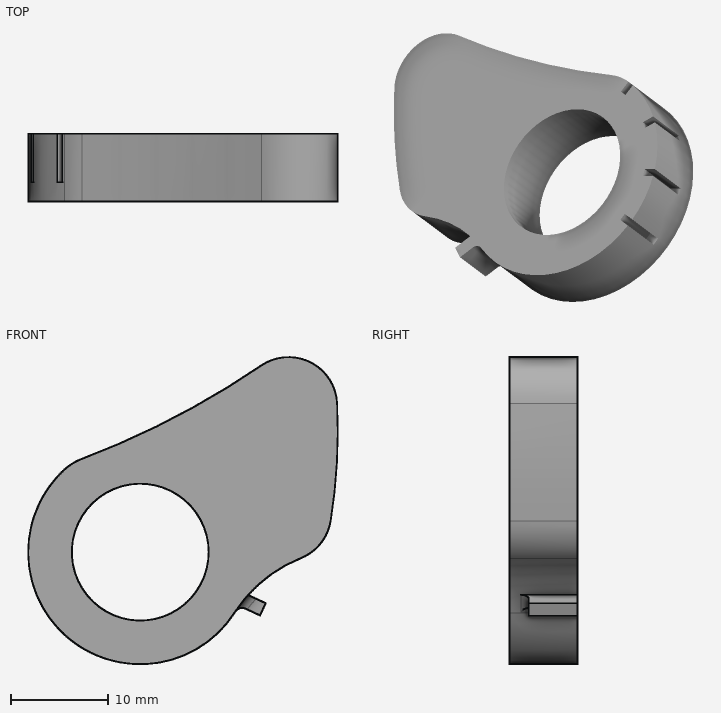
import cadquery as cq
import math

length = 31.78
height = 31.53
thickness = 7.0
hub_radius = 11.5
bore_diameter = 14.0

corner_radius = 5.0
heel_center = (14.62, 4.0)
tip_inset = 0.05
shoulder_radius = 5.55
shoulder_angle = 132.5
flank_radius = 58.15
back_radius = 87.7
throat_radius = 14.3

slot_angles = (136.0, 164.5, 195.5, 224.5)
slot_width = 0.75
slot_depth = 1.27
slot_length = 5.02

tongue_angle = -25.0
tongue_width = 1.4
tongue_reach = 13.9
tongue_root = 9.53
tongue_fillet = 0.83

rear = thickness / 2


def polar(radius, angle):
    a = math.radians(angle)
    return (radius * math.cos(a), radius * math.sin(a))


def circle_crossing(center_a, radius_a, center_b, radius_b):
    """Crossing of two circles that lies to the left of the line from a to b."""
    dx = center_b[0] - center_a[0]
    dz = center_b[1] - center_a[1]
    gap = math.hypot(dx, dz)
    along = (gap**2 + radius_a**2 - radius_b**2) / (2 * gap)
    aside = math.sqrt(radius_a**2 - along**2)
    return (
        center_a[0] + (along * dx - aside * dz) / gap,
        center_a[1] + (along * dz + aside * dx) / gap,
    )


def point_toward(center, radius, target):
    """Point on a circle in the direction of target; a negative radius gives the far side."""
    gap = math.dist(center, target)
    return tuple(c + radius * (t - c) / gap for c, t in zip(center, target))


def arc_middle(center, radius, start, end):
    """Middle of the shorter arc from start to end."""
    chord_middle = ((start[0] + end[0]) / 2, (start[1] + end[1]) / 2)
    return point_toward(center, radius, chord_middle)


def make_plate():
    hub = (0.0, 0.0)
    tip = (
        length - hub_radius - corner_radius - tip_inset,
        height - hub_radius - corner_radius,
    )
    heel = heel_center
    shoulder = polar(hub_radius - shoulder_radius, shoulder_angle)

    flank_gap = flank_radius - corner_radius
    flank = circle_crossing(heel, flank_gap, tip, flank_gap)
    back = circle_crossing(
        shoulder, back_radius + shoulder_radius, tip, back_radius + corner_radius
    )
    throat = circle_crossing(heel, throat_radius + corner_radius, hub, throat_radius + hub_radius)

    hub_throat = point_toward(hub, hub_radius, throat)
    throat_heel = point_toward(heel, corner_radius, throat)
    heel_flank = point_toward(heel, -corner_radius, flank)
    flank_tip = point_toward(tip, -corner_radius, flank)
    tip_back = point_toward(tip, corner_radius, back)
    back_shoulder = point_toward(shoulder, shoulder_radius, back)
    shoulder_hub = polar(hub_radius, shoulder_angle)
    hub_far_point = polar(hub_radius, shoulder_angle + 90)

    return (
        cq.Workplane("XZ", origin=(0, rear, 0))
        .moveTo(*hub_throat)
        .threePointArc(arc_middle(throat, throat_radius, hub_throat, throat_heel), throat_heel)
        .threePointArc(arc_middle(heel, corner_radius, throat_heel, heel_flank), heel_flank)
        .threePointArc(arc_middle(flank, flank_radius, heel_flank, flank_tip), flank_tip)
        .threePointArc(arc_middle(tip, corner_radius, flank_tip, tip_back), tip_back)
        .threePointArc(arc_middle(back, back_radius, tip_back, back_shoulder), back_shoulder)
        .threePointArc(arc_middle(shoulder, shoulder_radius, back_shoulder, shoulder_hub), shoulder_hub)
        .threePointArc(hub_far_point, hub_throat)
        .close()
        .extrude(thickness)
    )


def radial_block(inner, outer, width, angle):
    """Block on a radial line of the hub, running forward from the rear face."""
    return (
        cq.Workplane("XZ", origin=(0, rear, 0))
        .center((inner + outer) / 2, 0)
        .rect(outer - inner, width)
        .extrude(slot_length)
        .rotate((0, 0, 0), (0, -1, 0), angle)
    )


def add_tongue(body):
    tongue = radial_block(tongue_root, tongue_reach, tongue_width, tongue_angle)
    joined = body.union(tongue)

    front_x, front_z = polar(hub_radius, tongue_angle)
    half_spread = math.degrees(math.asin(tongue_width / 2 / hub_radius))
    lower_x, lower_z = polar(hub_radius, tongue_angle - half_spread)
    front_edge = joined.edges(
        cq.NearestToPointSelector((front_x, rear - slot_length, front_z))
    )
    lower_edge = joined.edges(
        cq.NearestToPointSelector((lower_x, rear - slot_length / 2, lower_z))
    )
    return front_edge.add(lower_edge).fillet(tongue_fillet)


result = add_tongue(make_plate())

for slot_angle in slot_angles:
    slot = radial_block(hub_radius - slot_depth, hub_radius + slot_depth, slot_width, slot_angle)
    result = result.cut(slot)

bore = (
    cq.Workplane("XZ", origin=(0, rear, 0))
    .circle(bore_diameter / 2)
    .extrude(thickness)
)
result = result.cut(bore)